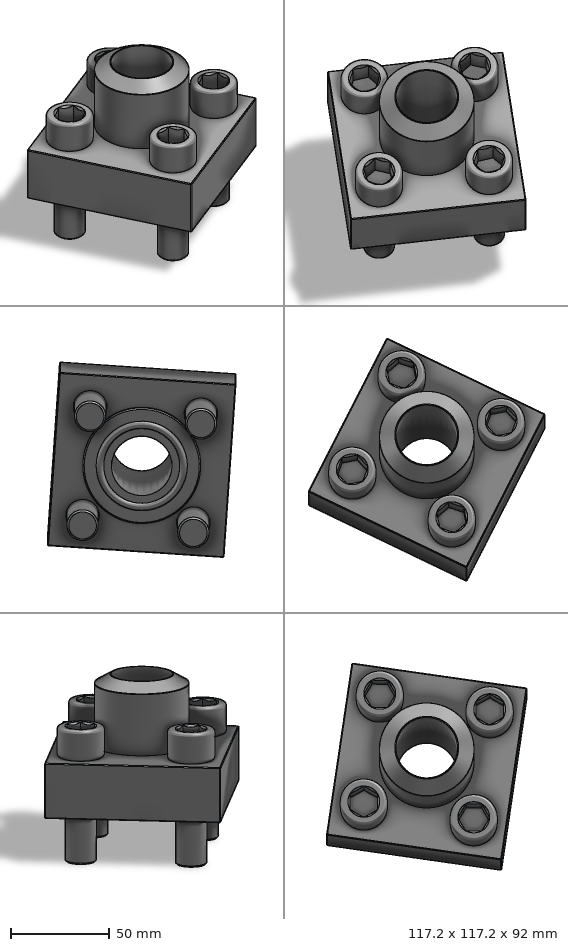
import cadquery as cq
import math

PLATE_SIDE = 90.0
PLATE_THICKNESS = 29.0
PLATE_TURN = 22.5
PLATE_CHAMFER = 0.5

NECK_DIAMETER = 48.3
NECK_HEIGHT = 37.0
NECK_TIP_DIAMETER = 32.5
NECK_BEVEL_HEIGHT = 4.6
NECK_EDGE_BREAK_WIDTH = 0.1
NECK_EDGE_BREAK_HEIGHT = 0.4
BORE_DIAMETER = 31.3
BORE_STRAIGHT_LENGTH = 18.9
BORE_EXIT_DIAMETER = 30.7

SPIGOT_DIAMETER = 60.0
SPIGOT_HEIGHT = 2.2
SPIGOT_CHAMFER = 0.7
GROOVE_INNER_DIAMETER = 38.7
GROOVE_OUTER_DIAMETER = 46.4
SEAL_PROTRUSION = 0.7

SCREW_CIRCLE_DIAMETER = 80.0
SCREW_COUNT = 4
SCREW_HOLE_DIAMETER = 17.0
SHANK_DIAMETER = 16.0
SHANK_LENGTH = 55.0
SHANK_TIP_CHAMFER = 0.9
HEAD_DIAMETER = 24.0
HEAD_HEIGHT = 16.1
HEAD_FILLET = 1.6
SOCKET_CORNER_DIAMETER = 16.2
SOCKET_DEPTH = 11.3

NECK_TOP = PLATE_THICKNESS + NECK_HEIGHT
SEAL_SECTION_DIAMETER = (GROOVE_OUTER_DIAMETER - GROOVE_INNER_DIAMETER) / 2
SEAL_MEAN_RADIUS = (GROOVE_OUTER_DIAMETER + GROOVE_INNER_DIAMETER) / 4
GROOVE_DEPTH = SEAL_SECTION_DIAMETER - SEAL_PROTRUSION
SOCKET_FLATS = SOCKET_CORNER_DIAMETER * math.cos(math.radians(30))


def cylinder(diameter, bottom, height):
    """Upright cylinder on the Z axis."""
    return cq.Workplane("XY").workplane(offset=bottom).circle(diameter / 2).extrude(height)


def screw_angle(index):
    """Direction of a screw from the flange centre; the screws sit on the plate diagonals."""
    return PLATE_TURN + 45 + index * 360 / SCREW_COUNT


def place_at_screw(shape, index):
    """Move a shape from the Z axis to a screw position, turning it by the pattern step."""
    angle = math.radians(screw_angle(index))
    radius = SCREW_CIRCLE_DIAMETER / 2
    offset = (radius * math.cos(angle), radius * math.sin(angle), 0)
    return shape.rotate((0, 0, 0), (0, 0, 1), index * 360 / SCREW_COUNT).translate(offset)


def make_neck():
    """Solid weld neck, from the plate underside up to its bevelled tip."""
    radius = NECK_DIAMETER / 2
    bevel_bottom = NECK_TOP - NECK_BEVEL_HEIGHT
    profile = [
        (0, 0),
        (radius, 0),
        (radius, bevel_bottom - NECK_EDGE_BREAK_HEIGHT),
        (radius - NECK_EDGE_BREAK_WIDTH, bevel_bottom),
        (NECK_TIP_DIAMETER / 2, NECK_TOP),
        (0, NECK_TOP),
    ]
    return cq.Workplane("XZ").polyline(profile).close().revolve(360, (0, 0), (0, 1))


def make_bore():
    """Tool shape of the through bore: straight at the neck tip, then tapering in to the spigot face."""
    profile = [
        (0, -SPIGOT_HEIGHT),
        (BORE_EXIT_DIAMETER / 2, -SPIGOT_HEIGHT),
        (BORE_DIAMETER / 2, NECK_TOP - BORE_STRAIGHT_LENGTH),
        (BORE_DIAMETER / 2, NECK_TOP),
        (0, NECK_TOP),
    ]
    return cq.Workplane("XZ").polyline(profile).close().revolve(360, (0, 0), (0, 1))


def make_flange():
    """Plate, weld neck and spigot in one piece, with bore, seal groove and screw holes."""
    plate = (
        cq.Workplane("XY")
        .rect(PLATE_SIDE, PLATE_SIDE)
        .extrude(PLATE_THICKNESS)
        .edges()
        .chamfer(PLATE_CHAMFER)
        .rotate((0, 0, 0), (0, 0, 1), PLATE_TURN)
    )
    spigot = (
        cylinder(SPIGOT_DIAMETER, -SPIGOT_HEIGHT, SPIGOT_HEIGHT)
        .faces("<Z")
        .edges()
        .chamfer(SPIGOT_CHAMFER)
    )
    groove = cylinder(GROOVE_OUTER_DIAMETER, -SPIGOT_HEIGHT, GROOVE_DEPTH).cut(
        cylinder(GROOVE_INNER_DIAMETER, -SPIGOT_HEIGHT, GROOVE_DEPTH)
    )
    flange = plate.union(make_neck()).union(spigot).cut(make_bore()).cut(groove)
    for index in range(SCREW_COUNT):
        hole = cylinder(SCREW_HOLE_DIAMETER, -SPIGOT_HEIGHT, SPIGOT_HEIGHT + PLATE_THICKNESS)
        flange = flange.cut(place_at_screw(hole, index))
    return flange


def make_seal_ring():
    """Round-section ring that fills the groove width and stands proud of the spigot face."""
    section_radius = SEAL_SECTION_DIAMETER / 2
    section_height = -SPIGOT_HEIGHT - SEAL_PROTRUSION + section_radius
    return (
        cq.Workplane("XZ")
        .center(SEAL_MEAN_RADIUS, section_height)
        .circle(section_radius)
        .revolve(360, (-SEAL_MEAN_RADIUS, 0), (-SEAL_MEAN_RADIUS, 1))
    )


def make_screw():
    """Socket head screw on the Z axis, its head seated on top of the plate."""
    shank = (
        cylinder(SHANK_DIAMETER, PLATE_THICKNESS - SHANK_LENGTH, SHANK_LENGTH)
        .faces("<Z")
        .edges()
        .chamfer(SHANK_TIP_CHAMFER)
    )
    head = (
        cylinder(HEAD_DIAMETER, PLATE_THICKNESS, HEAD_HEIGHT)
        .faces("<Z or >Z")
        .edges()
        .fillet(HEAD_FILLET)
    )
    head_top = PLATE_THICKNESS + HEAD_HEIGHT
    socket = (
        cq.Workplane("XY")
        .workplane(offset=head_top - SOCKET_DEPTH)
        .polygon(6, SOCKET_CORNER_DIAMETER)
        .extrude(SOCKET_DEPTH)
    )
    lead_in_depth = (SOCKET_CORNER_DIAMETER - SOCKET_FLATS) / 2
    lead_in = (
        cq.Workplane("XY")
        .workplane(offset=head_top)
        .circle(SOCKET_CORNER_DIAMETER / 2)
        .workplane(offset=-lead_in_depth)
        .circle(SOCKET_FLATS / 2)
        .loft()
    )
    return shank.union(head).cut(socket).cut(lead_in)


flange = make_flange()
seal_ring = make_seal_ring()
screws = [place_at_screw(make_screw(), index) for index in range(SCREW_COUNT)]

result = cq.Compound.makeCompound(
    [flange.val(), seal_ring.val(), *[screw.val() for screw in screws]]
)